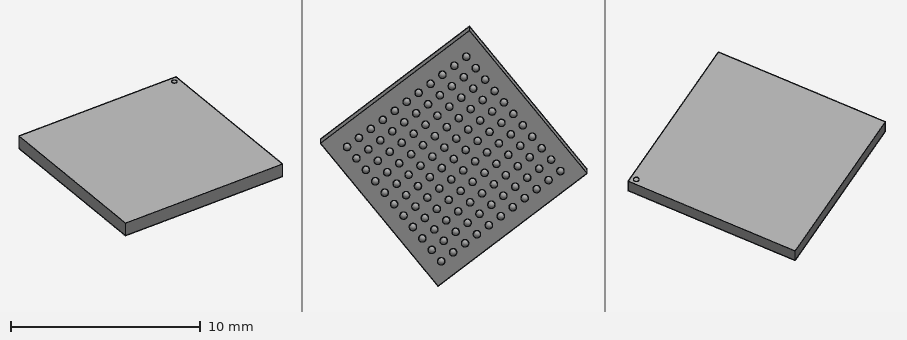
import cadquery as cq

body_side = 10.0
body_thickness = 0.8
overall_height = 1.11

balls_per_side = 11
ball_pitch = 0.8
ball_diameter = 0.4

marker_diameter = 0.3
marker_depth = 0.02
marker_inset = 0.32

ball_radius = ball_diameter / 2
body_bottom = overall_height - body_thickness


def make_body():
    """Square slab, with the balls' lowest points at Z = 0 beneath it."""
    slab = cq.Workplane("XY").workplane(offset=body_bottom)
    return slab.rect(body_side, body_side).extrude(body_thickness)


def make_balls():
    """Full square grid of balls, each partly sunk into the slab's underside."""
    centers = cq.Workplane("XY").workplane(offset=ball_radius)
    centers = centers.rarray(ball_pitch, ball_pitch, balls_per_side, balls_per_side)
    return centers.sphere(ball_radius, combine=False)


def make_marker():
    """Cutter for the recess at the -X, +Y corner of the top face."""
    offset = body_side / 2 - marker_inset
    top = cq.Workplane("XY").workplane(offset=overall_height)
    return top.center(-offset, offset).circle(marker_diameter / 2).extrude(-marker_depth)


result = make_body().cut(make_marker()).union(make_balls())